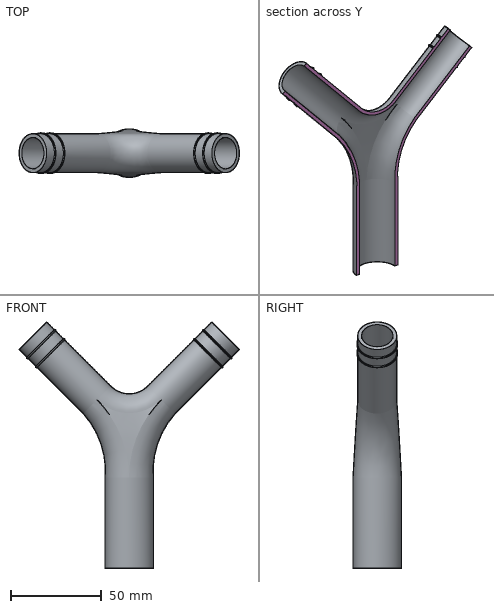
import cadquery as cq
import math

STEM_DIAMETER = 26.8
ARM_DIAMETER = 21.5
WALL = 2.15
STEM_LENGTH = 50.0
ARM_ANGLE = 45.0
ARM_LENGTH = 75.0
BLEND_LENGTH = 25.0
BEAD_RADIUS = 0.5
BEAD_SETBACK = 6.5
BEAD_PITCH = 7.0
BEAD_COUNT = 2
COVER_DEGREE = 2

STEM_RADIUS = STEM_DIAMETER / 2
ARM_RADIUS = ARM_DIAMETER / 2
tilt = math.radians(ARM_ANGLE)
meeting_z = STEM_LENGTH + BLEND_LENGTH
bend_radius = BLEND_LENGTH / math.tan(tilt / 2)
crotch_radius = BLEND_LENGTH * math.tan(tilt)
crotch_centre_z = meeting_z + BLEND_LENGTH / math.cos(tilt)


def arm_point(distance, side):
    """Point on an arm axis as (x, z); side is +1 or -1."""
    return side * distance * math.sin(tilt), meeting_z + distance * math.cos(tilt)


def bend_point(angle, side):
    """Point on the stem-to-arm centreline bend as (x, z)."""
    return side * bend_radius * (1 - math.cos(angle)), STEM_LENGTH + bend_radius * math.sin(angle)


def arm_plane(distance, side):
    """Plane square to an arm axis, facing the arm end, with local +Y toward the crotch."""
    x, z = arm_point(distance, side)
    return cq.Plane(origin=(x, 0, z), xDir=(0, side, 0), normal=(side * math.sin(tilt), 0, math.cos(tilt)))


def stem_plane(side):
    """Plane across the top of the stem, with local +Y away from the given side."""
    return cq.Plane(origin=(0, 0, STEM_LENGTH), xDir=(0, side, 0), normal=(0, 0, 1))


def half_disc(plane, radius, direction):
    """Half-disc outline bulging along local +Y or -Y."""
    outline = (
        cq.Workplane(plane)
        .moveTo(-radius, 0)
        .threePointArc((0, direction * radius), (radius, 0))
        .close()
    )
    return outline.wires().val()


def straight_arm(radius, side):
    return cq.Workplane(arm_plane(BLEND_LENGTH, side)).circle(radius).extrude(ARM_LENGTH - BLEND_LENGTH)


def outer_bend(stem_radius, arm_radius, side):
    """Outer half of the bend from stem to arm, narrowing on the way."""
    path = (
        cq.Workplane("XZ")
        .moveTo(0, STEM_LENGTH)
        .threePointArc(bend_point(tilt / 2, side), bend_point(tilt, side))
    )
    stem_end = half_disc(stem_plane(side), stem_radius, -1)
    arm_end = half_disc(arm_plane(BLEND_LENGTH, side), arm_radius, -1)
    return cq.Solid.sweep_multi([stem_end, arm_end], path.val())


def crotch_bend(radius):
    """Upper half of the bend from arm to arm, rounding the crotch."""
    path = (
        cq.Workplane("XZ")
        .moveTo(*arm_point(BLEND_LENGTH, -1))
        .threePointArc((0, crotch_centre_z - crotch_radius), arm_point(BLEND_LENGTH, 1))
    )
    return cq.Solid.sweep(half_disc(arm_plane(BLEND_LENGTH, -1), radius, 1), [], path.val())


def inner_face(bend):
    """Face of a half bend that runs along its centreline."""
    swept_faces = [face for face in bend.Faces() if face.geomType() != "PLANE"]
    return min(swept_faces, key=lambda face: face.Area())


def web(bends):
    """Filling enclosed by the three half bends."""
    walls = [inner_face(bend) for bend in bends]
    covers = []
    for direction in (-1, 1):
        rim = [max(wall.Edges(), key=lambda edge: direction * edge.Center().y) for wall in walls]
        covers.append(cq.Face.makeNSidedSurface(rim, [], degree=COVER_DEGREE))
    return cq.Solid.makeSolid(cq.Shell.makeShell(walls + covers))


def branched_body(stem_radius, arm_radius):
    """Solid Y: stem, bends, web and arms."""
    bends = [outer_bend(stem_radius, arm_radius, side) for side in (-1, 1)]
    bends.append(crotch_bend(arm_radius))
    body = cq.Workplane("XY").circle(stem_radius).extrude(STEM_LENGTH)
    for piece in bends + [web(bends)]:
        body = body.union(cq.Workplane(piece))
    for side in (-1, 1):
        body = body.union(straight_arm(arm_radius, side))
    return body


def bead(distance, side):
    """Half-round ring standing out of an arm."""
    plane = arm_plane(distance, side)
    return cq.Workplane(cq.Solid.makeTorus(ARM_RADIUS, BEAD_RADIUS, plane.origin, plane.zDir))


outer_body = branched_body(STEM_RADIUS, ARM_RADIUS)
for arm_side in (-1, 1):
    for index in range(BEAD_COUNT):
        outer_body = outer_body.union(bead(ARM_LENGTH - BEAD_SETBACK - index * BEAD_PITCH, arm_side))

bore = branched_body(STEM_RADIUS - WALL, ARM_RADIUS - WALL)
result = outer_body.cut(bore).solids()